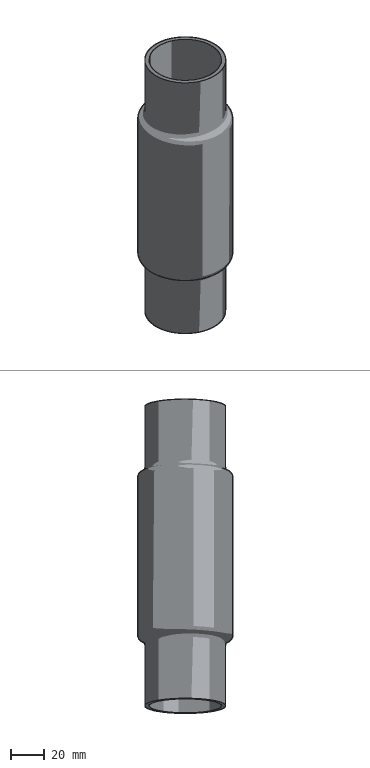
import cadquery as cq
import math

total_length = 182.0
body_diameter = 57.0
neck_diameter = 48.5
bore_diameter = 43.1
neck_length = 37.1
shoulder_length = 5.8

half_length = total_length / 2
body_radius = body_diameter / 2
neck_radius = neck_diameter / 2
bore_radius = bore_diameter / 2

shoulder_step = body_radius - neck_radius
arc_angle = 2 * math.atan(shoulder_step / shoulder_length)
arc_radius = shoulder_length / (2 * math.sin(arc_angle))

neck_root = half_length - neck_length
body_end = neck_root - shoulder_length
arc_junction = (body_radius - shoulder_step / 2, neck_root - shoulder_length / 2)

mid_arc_inset = arc_radius * (1 - math.cos(arc_angle / 2))
mid_arc_rise = arc_radius * math.sin(arc_angle / 2)
convex_middle = (body_radius - mid_arc_inset, body_end + mid_arc_rise)
concave_middle = (neck_radius + mid_arc_inset, neck_root - mid_arc_rise)


def mirrored(point):
    """Reflect a (radius, height) point to the lower half of the part."""
    radius, height = point
    return (radius, -height)


section = (
    cq.Workplane("XZ")
    .moveTo(bore_radius, -half_length)
    .lineTo(neck_radius, -half_length)
    .lineTo(neck_radius, -neck_root)
    .threePointArc(mirrored(concave_middle), mirrored(arc_junction))
    .threePointArc(mirrored(convex_middle), (body_radius, -body_end))
    .lineTo(body_radius, body_end)
    .threePointArc(convex_middle, arc_junction)
    .threePointArc(concave_middle, (neck_radius, neck_root))
    .lineTo(neck_radius, half_length)
    .lineTo(bore_radius, half_length)
    .close()
)

result = section.revolve(360, (0, 0), (0, 1))